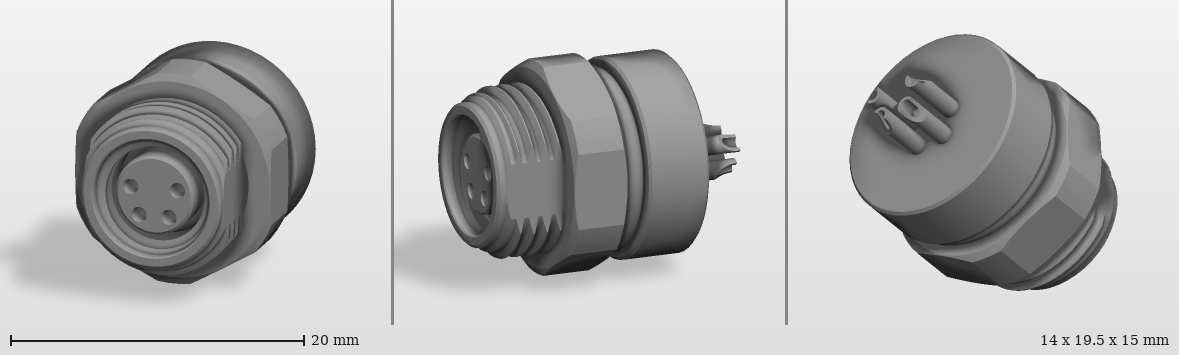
import cadquery as cq
import math


TOTAL_LENGTH = 19.5

NOSE_RADIUS = 5.002
NOSE_CHAMFER = 0.2
NOSE_LENGTH = 0.66
SHOULDER_DEPTH = 1.0
ROOT_RADIUS = 5.36
FLAT_DISTANCE = NOSE_RADIUS
BURIED = 0.1

PITCH = 1.0
FLANK_SLOPE = math.tan(math.radians(30))

CREST_RADIUS = 5.9
CREST_WIDTH = 0.1
THREAD_START_DEPTH = 1.83
THREAD_START_ANGLE = 73.0
THREAD_TURNS = 3.5
RUNOUT_TURNS = 0.9
RUNOUT_TIP_HEIGHT = 0.002

NUT_FRONT = 4.84
NUT_BACK = 8.83
NUT_ACROSS_FLATS = 14.0
NUT_CORNER_DIAMETER = 14.98
NUT_FACE_DIAMETER = 13.88
NUT_CHAMFER_DEPTH = 0.3
NUT_BORE_DIAMETER = 10.88
NUT_SEAT_RADIUS = 5.65

FLANGE_FRONT = 10.5
FLANGE_BACK = 15.0
FLANGE_DIAMETER = 14.0
FLANGE_CHAMFER = 0.2
SEAL_TUBE_RADIUS = 0.78
SEAL_OUTER_RADIUS = 6.51

MOUTH_RADIUS = 4.15
MOUTH_CHAMFER = 0.1
MOUTH_DEPTH = 0.75
BORE_RADIUS = 3.41
BORE_START = 1.11
SOCKET_FLOOR = 4.0
GROOVE_RADIUS = 4.0
GROOVE_WIDTH = 0.23
GROOVE_OVERLAP = 0.02
GROOVE_START_DEPTH = 0.76
GROOVE_START_ANGLE = -48.0
GROOVE_TURNS = 2.0

INSERT_RADIUS = 2.798
INSERT_FRONT = 0.76
INSERT_CHAMFER = 0.2
INNER_SEAL_TUBE_RADIUS = 0.39
INNER_SEAL_RADIUS = 3.0

UPPER_CONTACT = (1.68, 0.5)
LOWER_CONTACT = (1.07, -1.45)
HOLE_DIAMETER = 1.1
HOLE_DEPTH = 1.56
CONTACT_BORE_DIAMETER = 0.8
CONTACT_BORE_DEPTH = 3.9
PIN_DIAMETER = 1.3
CUP_DEPTH = 1.3
SCOOP_LENGTH = 1.62


def helix(start_radius, end_radius, start_depth, end_depth, turns):
    """Edge climbing the axis by a number of turns, its radius changing evenly."""
    rise = end_depth - start_depth
    cone_angle = math.atan2(end_radius - start_radius, rise)
    slant = rise / math.cos(cone_angle)
    wire = cq.Wire.makeHelix(
        slant / turns,
        slant,
        start_radius,
        center=cq.Vector(0, 0, start_depth),
        angle=math.degrees(cone_angle) or 360,
    )
    return wire.Edges()[0]


def thread_ridge(base_radius, start_crest, end_crest, crest_width, turns):
    """Helical ridge from base_radius to a crest; the crest may rise along the way."""
    rise = turns * PITCH

    def corner_edges(side):
        crest_shift = side * crest_width / 2
        start_base = crest_shift + side * abs(start_crest - base_radius) * FLANK_SLOPE
        end_base = crest_shift + side * abs(end_crest - base_radius) * FLANK_SLOPE
        base = helix(base_radius, base_radius, start_base, rise + end_base, turns)
        crest = helix(start_crest, end_crest, crest_shift, rise + crest_shift, turns)
        return base, crest

    front_base, front_crest = corner_edges(-1)
    back_base, back_crest = corner_edges(1)
    loop = [front_base, front_crest, back_crest, back_base]
    faces = [cq.Face.makeRuledSurface(a, b) for a, b in zip(loop, loop[1:] + loop[:1])]
    for end in (0, 1):
        corners = [edge.positionAt(end) for edge in loop]
        faces.append(cq.Face.makeFromWires(cq.Wire.makePolygon(corners, close=True)))
    ridge = cq.Solid.makeSolid(cq.Shell.makeShell(faces))
    return cq.Workplane(ridge.fix())


def place_thread(ridge, angle, depth):
    return ridge.rotate((0, 0, 0), (0, 0, 1), angle).translate((0, 0, depth))


def revolved(points):
    """Solid of revolution about the connector axis from (radius, depth) points."""
    return cq.Workplane("XZ").polyline(points).close().revolve(360, (0, 0, 0), (0, 1, 0))


def ring(center_radius, tube_radius, depth):
    return cq.Workplane(cq.Solid.makeTorus(center_radius, tube_radius, cq.Vector(0, 0, depth)))


def make_threaded_body():
    body = revolved([
        (0, 0),
        (NOSE_RADIUS - NOSE_CHAMFER, 0),
        (NOSE_RADIUS, NOSE_CHAMFER),
        (NOSE_RADIUS, NOSE_LENGTH),
        (ROOT_RADIUS, SHOULDER_DEPTH),
        (ROOT_RADIUS, NUT_FRONT),
        (NUT_SEAT_RADIUS, NUT_FRONT),
        (NUT_SEAT_RADIUS, NUT_BACK),
        (ROOT_RADIUS, NUT_BACK),
        (ROOT_RADIUS, FLANGE_BACK),
        (0, FLANGE_BACK),
    ])
    base_radius = ROOT_RADIUS - BURIED
    thread = thread_ridge(base_radius, CREST_RADIUS, CREST_RADIUS, CREST_WIDTH, THREAD_TURNS)
    runout = thread_ridge(
        base_radius, base_radius + RUNOUT_TIP_HEIGHT, CREST_RADIUS, CREST_WIDTH, RUNOUT_TURNS
    )
    body = body.union(place_thread(thread, THREAD_START_ANGLE, THREAD_START_DEPTH))
    body = body.union(
        place_thread(
            runout,
            THREAD_START_ANGLE - 360 * RUNOUT_TURNS,
            THREAD_START_DEPTH - RUNOUT_TURNS * PITCH,
        )
    )
    flats_end = FLANGE_FRONT - SEAL_TUBE_RADIUS
    between_flats = cq.Workplane("XY").box(
        2 * FLAT_DISTANCE, 3 * CREST_RADIUS, flats_end, centered=(True, True, False)
    )
    behind_flats = (
        cq.Workplane("XY").workplane(offset=flats_end).circle(CREST_RADIUS).extrude(TOTAL_LENGTH)
    )
    return body.intersect(between_flats.union(behind_flats))


def make_nut():
    nut_length = NUT_BACK - NUT_FRONT
    corner_to_corner = NUT_ACROSS_FLATS / math.cos(math.radians(30))
    hexagon = (
        cq.Workplane("XY")
        .workplane(offset=NUT_FRONT)
        .polygon(6, corner_to_corner)
        .extrude(nut_length)
        .rotate((0, 0, 0), (0, 0, 1), 30)
    )
    bore_radius = NUT_BORE_DIAMETER / 2
    face_radius = NUT_FACE_DIAMETER / 2
    corner_radius = NUT_CORNER_DIAMETER / 2
    chamfered_ring = revolved([
        (bore_radius, NUT_FRONT),
        (face_radius, NUT_FRONT),
        (corner_radius, NUT_FRONT + NUT_CHAMFER_DEPTH),
        (corner_radius, NUT_BACK - NUT_CHAMFER_DEPTH),
        (face_radius, NUT_BACK),
        (bore_radius, NUT_BACK),
    ])
    return hexagon.intersect(chamfered_ring)


def make_flange():
    return (
        cq.Workplane("XY")
        .workplane(offset=FLANGE_FRONT)
        .circle(FLANGE_DIAMETER / 2)
        .extrude(FLANGE_BACK - FLANGE_FRONT)
        .edges()
        .chamfer(FLANGE_CHAMFER)
    )


def make_socket():
    cavity = revolved([
        (0, 0),
        (MOUTH_RADIUS + MOUTH_CHAMFER, 0),
        (MOUTH_RADIUS, MOUTH_CHAMFER),
        (MOUTH_RADIUS, MOUTH_DEPTH),
        (BORE_RADIUS, BORE_START),
        (BORE_RADIUS, SOCKET_FLOOR),
        (0, SOCKET_FLOOR),
    ])
    groove = thread_ridge(
        BORE_RADIUS - GROOVE_OVERLAP, GROOVE_RADIUS, GROOVE_RADIUS, GROOVE_WIDTH, GROOVE_TURNS
    )
    return cavity.union(place_thread(groove, GROOVE_START_ANGLE, GROOVE_START_DEPTH))


def make_insert():
    return revolved([
        (0, INSERT_FRONT),
        (INSERT_RADIUS - INSERT_CHAMFER, INSERT_FRONT),
        (INSERT_RADIUS, INSERT_FRONT + INSERT_CHAMFER),
        (INSERT_RADIUS, SOCKET_FLOOR + BURIED),
        (0, SOCKET_FLOOR + BURIED),
    ])


def make_contact_hole():
    """Stepped hole along the axis: clearance, conical lead-in, contact bore."""
    hole_radius = HOLE_DIAMETER / 2
    bore_radius = CONTACT_BORE_DIAMETER / 2
    cone_end = HOLE_DEPTH + hole_radius - bore_radius
    return revolved([
        (0, INSERT_FRONT),
        (hole_radius, INSERT_FRONT),
        (hole_radius, INSERT_FRONT + HOLE_DEPTH),
        (bore_radius, INSERT_FRONT + cone_end),
        (bore_radius, INSERT_FRONT + CONTACT_BORE_DEPTH),
        (0, INSERT_FRONT + CONTACT_BORE_DEPTH),
    ])


def make_pin():
    """Solder-cup pin along the axis, its end scooped open toward +X."""
    pin_radius = PIN_DIAMETER / 2
    pin_front = FLANGE_BACK - BURIED
    pin = (
        cq.Workplane("XY")
        .workplane(offset=pin_front)
        .circle(pin_radius)
        .extrude(TOTAL_LENGTH - pin_front)
    )
    cup = (
        cq.Workplane("XY")
        .workplane(offset=TOTAL_LENGTH - CUP_DEPTH)
        .circle(CONTACT_BORE_DIAMETER / 2)
        .extrude(CUP_DEPTH)
    )
    scoop_radius = (SCOOP_LENGTH**2 + pin_radius**2) / (2 * pin_radius)
    scoop = (
        cq.Workplane("XZ")
        .center(scoop_radius, TOTAL_LENGTH)
        .circle(scoop_radius)
        .extrude(pin_radius, both=True)
    )
    return pin.cut(cup).cut(scoop)


def make_connector():
    connector = make_threaded_body().union(make_flange()).union(make_nut())
    seal = ring(
        SEAL_OUTER_RADIUS - SEAL_TUBE_RADIUS, SEAL_TUBE_RADIUS, FLANGE_FRONT - SEAL_TUBE_RADIUS
    )
    inner_seal = ring(
        INNER_SEAL_RADIUS,
        INNER_SEAL_TUBE_RADIUS,
        SOCKET_FLOOR - INNER_SEAL_TUBE_RADIUS + BURIED,
    )
    connector = connector.union(seal).cut(make_socket()).union(make_insert()).union(inner_seal)
    contact_hole = make_contact_hole()
    pin = make_pin()
    for x, z in (UPPER_CONTACT, LOWER_CONTACT):
        for side in (-1, 1):
            place = (side * x, -z, 0)
            facing = math.degrees(math.atan2(math.copysign(1, -z), side))
            connector = connector.cut(contact_hole.translate(place))
            connector = connector.union(pin.rotate((0, 0, 0), (0, 0, 1), facing).translate(place))
    return connector


result = make_connector().rotate((0, 0, 0), (1, 0, 0), -90)